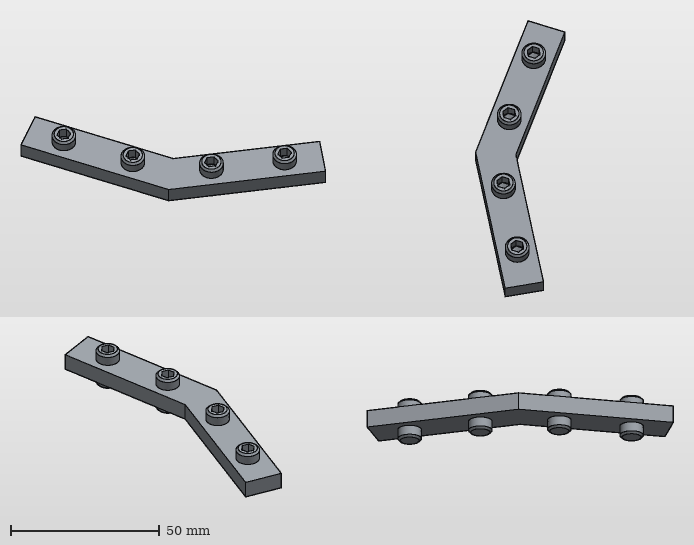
import cadquery as cq
import math

overall_length = 99.9
bend_angle = 30.0
plate_width = 13.2
plate_thickness = 6.0

screw_diameter = 8.0
screw_length = 14.0
screw_end_diameter = 6.5
chamfer_height = (screw_diameter - screw_end_diameter) / 2
end_margin = 13.0
screw_spacing = 25.0

socket_across_flats = 4.0
socket_depth = 4.0
socket_cone_angle = 120.0

bend = math.radians(bend_angle)
leg_length = overall_length / (1 + math.cos(bend))
mitre_setback = plate_width * math.tan(bend / 2)
socket_corner_diameter = socket_across_flats / math.cos(math.pi / 6)
socket_cone_height = socket_corner_diameter / 2 / math.tan(math.radians(socket_cone_angle / 2))


def point_on_second_leg(along, across):
    """Place a point by its distance from the bend and from the outer edge."""
    x = leg_length + along * math.cos(bend) - across * math.sin(bend)
    y = along * math.sin(bend) + across * math.cos(bend)
    return (x, y)


def screw_positions():
    """Screws on the centreline, equally far from the free end on both legs."""
    positions = []
    for distance in (end_margin, end_margin + screw_spacing):
        positions.append((distance, plate_width / 2))
        positions.append(point_on_second_leg(leg_length - distance, plate_width / 2))
    return positions


def make_plate():
    """Bent plate, centred on Z = 0, with a through hole for each screw."""
    outline = [
        (0, 0),
        (leg_length, 0),
        point_on_second_leg(leg_length, 0),
        point_on_second_leg(leg_length, plate_width),
        (leg_length - mitre_setback, plate_width),
        (0, plate_width),
    ]
    blank = cq.Workplane("XY").polyline(outline).close().extrude(plate_thickness / 2, both=True)
    holes = (
        cq.Workplane("XY")
        .pushPoints(screw_positions())
        .circle(screw_diameter / 2)
        .extrude(plate_thickness, both=True)
    )
    return blank.cut(holes)


def make_socket():
    """Hexagonal recess from the top of a screw, ending in a cone."""
    top = screw_length / 2
    hexagon = (
        cq.Workplane("XY", origin=(0, 0, top - socket_depth))
        .transformed(rotate=(0, 0, 90))
        .polygon(6, socket_corner_diameter)
        .extrude(socket_depth)
    )
    cone = cq.Solid.makeCone(
        socket_corner_diameter / 2,
        0,
        socket_cone_height,
        cq.Vector(0, 0, top - socket_depth),
        cq.Vector(0, 0, -1),
    )
    return hexagon.union(cq.Workplane(cone))


def make_screw(x, y):
    """Headless screw, chamfered at both ends and centred on Z = 0."""
    half_length = screw_length / 2
    shoulder = half_length - chamfer_height
    half_profile = [
        (0, -half_length),
        (screw_end_diameter / 2, -half_length),
        (screw_diameter / 2, -shoulder),
        (screw_diameter / 2, shoulder),
        (screw_end_diameter / 2, half_length),
        (0, half_length),
    ]
    body = cq.Workplane("XZ").polyline(half_profile).close().revolve(360, (0, 0), (0, 1))
    return body.cut(make_socket()).translate((x, y, 0))


plate = make_plate()
screws = [make_screw(x, y) for x, y in screw_positions()]

result = cq.Compound.makeCompound([plate.val(), *[screw.val() for screw in screws]])